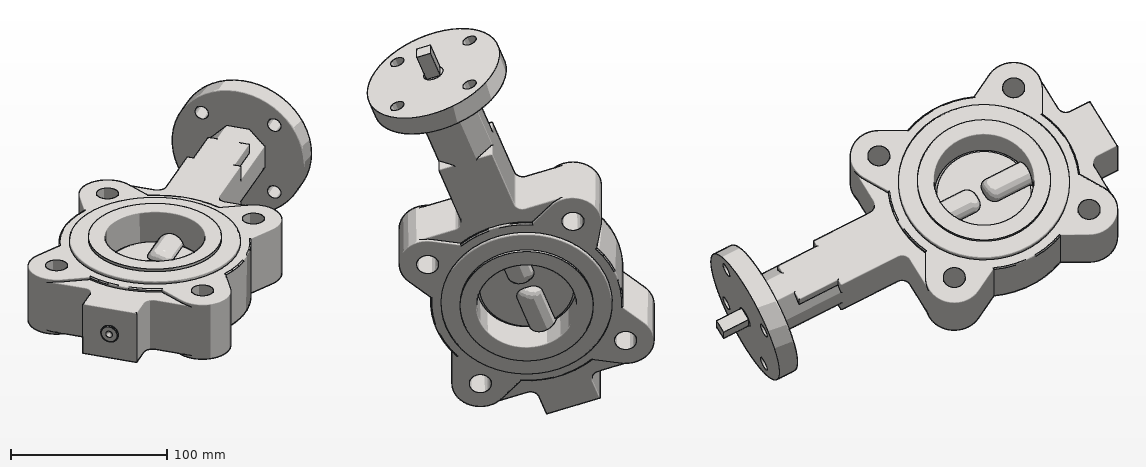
import cadquery as cq
import math


plate_radius = 61.5
plate_half_thickness = 20.3
lug_radius = 18.4
lug_offset = 49.5
lug_hole_radius = 7.0
lug_root_angle = 23.3
edge_round = 0.8

raised_face_radius = 54.8
raised_face_half_height = 22.5
raised_face_round = 1.0
seat_radius = 42.6
seat_half_height = 24.5
bore_radius = 32.0
bore_mouth_round = 0.8

neck_width = 36.7
neck_half = neck_width / 2
neck_end_y = 161.3
foot_end_y = -87.8
bridge_half_length = lug_offset
bridge_half_width = lug_offset + lug_radius
neck_corner_radius = 5.6
pick_margin = 0.3

octagon_start_y = 115.0
octagon_chamfer = neck_width / (2 + math.sqrt(2))
pad_half_width = 14.0
pad_end_y = 143.5
pad_bottom_z = 11.3

flange_diameter = 90.0
flange_thickness = 13.8
flange_top_y = neck_end_y + flange_thickness
flange_round = 1.0
flange_hole_radius = 4.5
flange_hole_offset = 24.5

disc_half_thickness = 3.5
disc_edge_chamfer = 1.7
hub_radius = 9.3
hub_end_round = 6.2
upper_hub_inner_y = 4.8
lower_hub_inner_y = 0.0

square_side = 9.3
upper_stem_radius = square_side / math.sqrt(2)
upper_stem_inner_y = upper_hub_inner_y + hub_end_round
upper_stem_end_y = 193.5
lower_stem_radius = 6.0
lower_stem_inner_y = lower_hub_inner_y - hub_end_round
lower_stem_end_y = -89.0
lower_stem_chamfer = 0.5
centre_hole_radius = 2.3
centre_hole_depth = 2.3


def bar_along_y(radius, y_start, y_end):
    """Round bar on the Y axis between two Y positions (y_start < y_end)."""
    return cq.Workplane("XZ", origin=(0, y_start, 0)).circle(radius).extrude(y_start - y_end)


def bar_along_z(radius, half_height):
    """Round bar on the Z axis, centred on the origin."""
    return cq.Workplane("XY").circle(radius).extrude(half_height, both=True)


def lug():
    """The lug in the +X +Y quadrant, with straight flanks running tangent into the ring."""
    root_angle = math.radians(lug_root_angle)
    root_x = plate_radius * math.cos(root_angle)
    root_y = plate_radius * math.sin(root_angle)

    root_distance = math.hypot(root_x - lug_offset, root_y - lug_offset)
    root_direction = math.atan2(root_y - lug_offset, root_x - lug_offset)
    tangent_direction = root_direction + math.acos(lug_radius / root_distance)
    tangent_x = lug_offset + lug_radius * math.cos(tangent_direction)
    tangent_y = lug_offset + lug_radius * math.sin(tangent_direction)

    flanks = (
        cq.Workplane("XY")
        .polyline([(0, 0), (root_x, root_y), (tangent_x, tangent_y), (tangent_y, tangent_x), (root_y, root_x)])
        .close()
        .extrude(plate_half_thickness, both=True)
    )
    boss = bar_along_z(lug_radius, plate_half_thickness).translate((lug_offset, lug_offset, 0))
    return flanks.union(boss)


def ring_plate():
    """Round plate with four lugs and softened rims."""
    plate = bar_along_z(plate_radius, plate_half_thickness)
    quadrant_lug = lug()
    for quarter_turn in range(4):
        plate = plate.union(quadrant_lug.rotate((0, 0, 0), (0, 0, 1), 90 * quarter_turn))
    return plate.clean().faces("|Z").edges().fillet(edge_round)


def neck_and_bridges():
    """Square neck and foot crossing the rectangle that bridges the lugs; the neck runs into the flange."""
    bridges = cq.Workplane("XY").rect(2 * bridge_half_length, 2 * bridge_half_width).extrude(neck_half, both=True)
    neck_length = flange_top_y - foot_end_y
    neck = (
        cq.Workplane("XY")
        .center(0, (flange_top_y + foot_end_y) / 2)
        .rect(neck_width, neck_length)
        .extrude(neck_half, both=True)
    )
    inner_corners = cq.selectors.BoxSelector(
        (-neck_half - pick_margin, -bridge_half_width - pick_margin, -neck_half),
        (neck_half + pick_margin, bridge_half_width + pick_margin, neck_half),
    )
    body = bridges.union(neck).edges("|Z").edges(inner_corners).fillet(neck_corner_radius)
    body = body.cut(octagon_cut())

    side_outlines = [
        cq.selectors.BoxSelector(
            (side * neck_half - pick_margin, octagon_start_y - pick_margin, -neck_half + pick_margin),
            (side * neck_half + pick_margin, flange_top_y - pick_margin, neck_half - pick_margin),
        )
        for side in (-1, 1)
    ]
    softened_edges = body.faces("|Z").edges()
    for side_outline in side_outlines:
        softened_edges = softened_edges.add(body.edges(side_outline))
    return softened_edges.fillet(edge_round)


def octagon_cut():
    """Corner material removed to make the upper neck octagonal, sparing the +Z pad."""
    length = flange_top_y - octagon_start_y
    blank = cq.Workplane("XZ", origin=(0, octagon_start_y, 0)).rect(neck_width, neck_width).extrude(-length)
    octagon = blank.edges("|Y").chamfer(octagon_chamfer)
    pad = cq.Workplane("XY").box(
        2 * pad_half_width, pad_end_y - octagon_start_y, neck_half - pad_bottom_z, centered=(True, False, False)
    ).translate((0, octagon_start_y, pad_bottom_z))
    return blank.cut(octagon).cut(pad)


def actuator_flange():
    flange = bar_along_y(flange_diameter / 2, neck_end_y, flange_top_y).faces("<Y").edges().fillet(flange_round)
    holes = (
        cq.Workplane("XZ", origin=(0, neck_end_y, 0))
        .rect(2 * flange_hole_offset, 2 * flange_hole_offset, forConstruction=True)
        .vertices()
        .circle(flange_hole_radius)
        .extrude(-flange_thickness)
    )
    return flange.cut(holes)


def bore_cutter():
    """Bore with a mouth that flares out in a quarter round at each seat face."""
    mouth_radius = bore_radius + bore_mouth_round
    quarter_round_mid = bore_mouth_round * (1 - math.sqrt(0.5))
    return (
        cq.Workplane("XZ")
        .moveTo(0, -seat_half_height)
        .lineTo(mouth_radius, -seat_half_height)
        .threePointArc(
            (bore_radius + quarter_round_mid, -seat_half_height + quarter_round_mid),
            (bore_radius, -seat_half_height + bore_mouth_round),
        )
        .lineTo(bore_radius, seat_half_height - bore_mouth_round)
        .threePointArc(
            (bore_radius + quarter_round_mid, seat_half_height - quarter_round_mid),
            (mouth_radius, seat_half_height),
        )
        .lineTo(0, seat_half_height)
        .close()
        .revolve(360, (0, 0, 0), (0, 1, 0))
    )


def make_housing():
    seat = bar_along_z(seat_radius, seat_half_height)
    raised_face = bar_along_z(raised_face_radius, raised_face_half_height).edges().fillet(raised_face_round)
    lug_holes = (
        cq.Workplane("XY")
        .rect(2 * lug_offset, 2 * lug_offset, forConstruction=True)
        .vertices()
        .circle(lug_hole_radius)
        .extrude(plate_half_thickness, both=True)
    )
    body = ring_plate().union(neck_and_bridges()).union(raised_face).union(seat).union(actuator_flange())
    body = body.cut(lug_holes).cut(bore_cutter())
    body = body.cut(bar_along_y(upper_stem_radius, 0, flange_top_y))
    return body.cut(bar_along_y(lower_stem_radius, foot_end_y, 0))


def make_disc():
    """Bevelled plate with a domed hub on each side of the centre, ending at the bore wall."""
    plate = bar_along_z(bore_radius, disc_half_thickness).edges().chamfer(disc_edge_chamfer)
    upper_hub = bar_along_y(hub_radius, upper_hub_inner_y, seat_radius).faces("<Y").edges().fillet(hub_end_round)
    lower_hub = bar_along_y(hub_radius, -seat_radius, lower_hub_inner_y).faces(">Y").edges().fillet(hub_end_round)
    hubs = upper_hub.union(lower_hub).intersect(bar_along_z(bore_radius, hub_radius))
    disc = plate.union(hubs)
    disc = disc.cut(bar_along_y(upper_stem_radius, upper_stem_inner_y, bore_radius))
    return disc.cut(bar_along_y(lower_stem_radius, -bore_radius, lower_stem_inner_y))


def make_upper_stem():
    """Round shaft through the neck with a square drive end beyond the flange."""
    shaft = bar_along_y(upper_stem_radius, upper_stem_inner_y, flange_top_y)
    drive = (
        cq.Workplane("XZ", origin=(0, flange_top_y, 0))
        .rect(square_side, square_side)
        .extrude(flange_top_y - upper_stem_end_y)
    )
    return shaft.union(drive)


def make_lower_stem():
    """Round pin through the foot with a conical centre hole in its outer end."""
    pin = bar_along_y(lower_stem_radius, lower_stem_end_y, lower_stem_inner_y)
    pin = pin.faces("<Y").edges().chamfer(lower_stem_chamfer)
    centre_hole = cq.Solid.makeCone(
        centre_hole_radius, 0, centre_hole_depth, pnt=cq.Vector(0, lower_stem_end_y, 0), dir=cq.Vector(0, 1, 0)
    )
    return pin.cut(cq.Workplane(centre_hole))


housing = make_housing()
disc = make_disc()
upper_stem = make_upper_stem()
lower_stem = make_lower_stem()

result = cq.Compound.makeCompound([housing.val(), disc.val(), upper_stem.val(), lower_stem.val()])